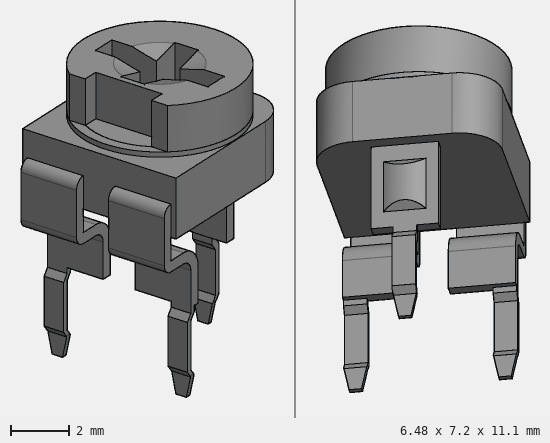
import cadquery as cq
import math


total_height = 11.05
total_depth = 7.2
housing_width = 6.48
rotor_diameter = 6.42

sheet = 0.43
lead_sheet = sheet / 2
clip_thickness = 0.4
plate_width = 2.35
plate_gap = 1.35
plate_bottom = 3.51

housing_bottom = 6.71
housing_top = 9.06
back_corner_radius = 1.5
rotor_inset = 0.01
housing_back = rotor_diameter / 2 + rotor_inset
terminal_front = housing_back - total_depth
housing_front = terminal_front + clip_thickness
collar_height = 0.2
collar_top = housing_top + collar_height

plug_diameter = 5.62
flat_y = -2.45
notch_width = 2.8
notch_y = -1.83
slot_width = 0.98
long_slot_length = 4.75
long_slot_depth = total_height - collar_top
short_slot_length = 3.19
short_slot_depth = 1.5
cone_diameter = short_slot_length
cone_depth = 0.46

clip_top = 8.0
step_top = 5.81
step_bottom = step_top - sheet
front_plate_y = -2.41
front_plate_back = front_plate_y + sheet
bend_radius = sheet
bend_outer_radius = bend_radius + sheet

rear_plate_y = 2.73
bead_length = 1.96
bead_crest_length = 1.4
bead_width = 1.47
bead_height = 0.24

lead_width = 0.83
lead_tip_width = 0.44
lead_offset = 0.2
upper_bend = (3.29, 3.03)
rear_inner_upper_bend = (3.13, 2.86)
lower_bend = (1.1, 0.84)
taper_top = 0.91
rear_tip_sheet = 0.18


def box(x_min, x_max, y_min, y_max, z_min, z_max):
    """Axis-aligned block between the given limits."""
    size = (x_max - x_min, y_max - y_min, z_max - z_min)
    return cq.Workplane("XY").box(*size, centered=False).translate((x_min, y_min, z_min))


def disc(diameter, z_min, z_max):
    """Round disc on the rotor axis."""
    return cq.Workplane("XY").workplane(offset=z_min).circle(diameter / 2).extrude(z_max - z_min)


def extrude_along_x(side_outline, x_center, width):
    """Extrude a closed YZ outline, centred on x_center."""
    return side_outline.extrude(width / 2, both=True).translate((x_center, 0, 0))


def make_lead(x_center, face_y, outward, inner_upper_bend, tip_sheet):
    """Kinked lead whose outer face starts at face_y and steps towards outward (+1 or -1)."""
    outer_y = face_y
    inner_y = face_y - outward * lead_sheet
    tip_inner_y = face_y - outward * tip_sheet
    step = outward * lead_offset
    side_outline = (
        cq.Workplane("YZ")
        .polyline([
            (outer_y, plate_bottom),
            (outer_y, upper_bend[0]),
            (outer_y + step, upper_bend[1]),
            (outer_y + step, lower_bend[0]),
            (outer_y, lower_bend[1]),
            (outer_y, 0),
            (tip_inner_y, 0),
            (tip_inner_y, lower_bend[1]),
            (inner_y + step, lower_bend[0]),
            (inner_y + step, inner_upper_bend[1]),
            (inner_y, inner_upper_bend[0]),
            (inner_y, plate_bottom),
        ])
        .close()
    )
    tapered_strip = (
        cq.Workplane("XZ")
        .polyline([
            (-lead_tip_width / 2, 0),
            (lead_tip_width / 2, 0),
            (lead_width / 2, taper_top),
            (lead_width / 2, plate_bottom),
            (-lead_width / 2, plate_bottom),
            (-lead_width / 2, taper_top),
        ])
        .close()
        .extrude(total_depth, both=True)
        .translate((x_center, 0, 0))
    )
    return extrude_along_x(side_outline, x_center, lead_width).intersect(tapered_strip)


def make_front_terminal(side):
    """Clip on the housing front, bent back under it and down; side is -1 or +1."""
    plate_center = side * (plate_gap + plate_width) / 2
    lead_center = side * (plate_gap / 2 + plate_width - lead_width / 2)
    diagonal = math.sqrt(0.5)
    bend_y = front_plate_y - bend_radius
    bend_z = step_bottom - bend_radius
    inner_reach = bend_radius * diagonal
    outer_reach = bend_outer_radius * diagonal
    round_reach = clip_thickness * diagonal
    round_bottom_z = step_bottom + clip_thickness
    round_top_z = clip_top - clip_thickness
    side_outline = (
        cq.Workplane("YZ")
        .moveTo(front_plate_y, plate_bottom)
        .lineTo(front_plate_y, bend_z)
        .threePointArc((bend_y + inner_reach, bend_z + inner_reach), (bend_y, step_bottom))
        .lineTo(housing_front, step_bottom)
        .threePointArc(
            (housing_front - round_reach, round_bottom_z - round_reach),
            (terminal_front, round_bottom_z),
        )
        .lineTo(terminal_front, round_top_z)
        .threePointArc(
            (housing_front - round_reach, round_top_z + round_reach),
            (housing_front, clip_top),
        )
        .lineTo(housing_front, step_top)
        .lineTo(bend_y, step_top)
        .threePointArc(
            (bend_y + outer_reach, bend_z + outer_reach),
            (front_plate_back, bend_z),
        )
        .lineTo(front_plate_back, plate_bottom)
        .close()
    )
    strip = extrude_along_x(side_outline, plate_center, plate_width)
    return strip.union(make_lead(lead_center, front_plate_y, -1, upper_bend, lead_sheet))


def make_bead():
    """Raised bead on the rear plate: arched across X, with sloping ends along Z."""
    bead_z = (plate_bottom + housing_bottom) / 2
    crest_y = rear_plate_y + bead_height
    arched_section = (
        cq.Workplane("XY")
        .moveTo(-bead_width / 2, rear_plate_y)
        .threePointArc((0, crest_y), (bead_width / 2, rear_plate_y))
        .close()
        .extrude(bead_length / 2, both=True)
    )
    sloped_ends = (
        cq.Workplane("YZ")
        .polyline([
            (rear_plate_y, -bead_length / 2),
            (crest_y, -bead_crest_length / 2),
            (crest_y, bead_crest_length / 2),
            (rear_plate_y, bead_length / 2),
        ])
        .close()
        .extrude(bead_width / 2, both=True)
    )
    return arched_section.intersect(sloped_ends).translate((0, 0, bead_z))


def make_rear_terminal():
    """Plate below the housing with a bead on its rear face and one central lead."""
    half_width = plate_width / 2
    plate = box(-half_width, half_width, rear_plate_y - sheet, rear_plate_y, plate_bottom, housing_bottom)
    lead = make_lead(0, rear_plate_y, 1, rear_inner_upper_bend, rear_tip_sheet)
    return plate.union(make_bead()).union(lead)


def make_housing():
    """Housing block with its collar, the rotor seat and the three terminals."""
    half_width = housing_width / 2
    block = box(-half_width, half_width, housing_front, housing_back, housing_bottom, housing_top)
    block = block.edges("|Z and >Y").fillet(back_corner_radius)
    body = block.union(disc(rotor_diameter, housing_top, collar_top))
    body = body.cut(disc(plug_diameter, housing_top, collar_top))
    for side in (-1, 1):
        body = body.union(make_front_terminal(side))
    return body.union(make_rear_terminal())


def make_rotor():
    """Round head with a flat, a notch and a cross slot, on a plug that fits the collar."""
    radius = rotor_diameter / 2
    head = disc(rotor_diameter, collar_top, total_height)
    head = head.cut(box(-radius, radius, -radius, flat_y, collar_top, total_height))
    head = head.cut(box(-notch_width / 2, notch_width / 2, -radius, notch_y, collar_top, total_height))

    countersink = cq.Workplane(
        cq.Solid.makeCone(0, cone_diameter / 2, cone_depth, cq.Vector(0, 0, total_height - cone_depth))
    )
    head = head.cut(countersink)
    for length_x, length_y, depth in (
        (long_slot_length, slot_width, long_slot_depth),
        (slot_width, short_slot_length, short_slot_depth),
    ):
        slot_floor = total_height - depth
        slot = box(-length_x / 2, length_x / 2, -length_y / 2, length_y / 2, slot_floor, total_height)
        head = head.cut(slot)
    return head.union(disc(plug_diameter, housing_top, collar_top))


housing = make_housing()
rotor = make_rotor()
result = cq.Compound.makeCompound([housing.val(), rotor.val()])